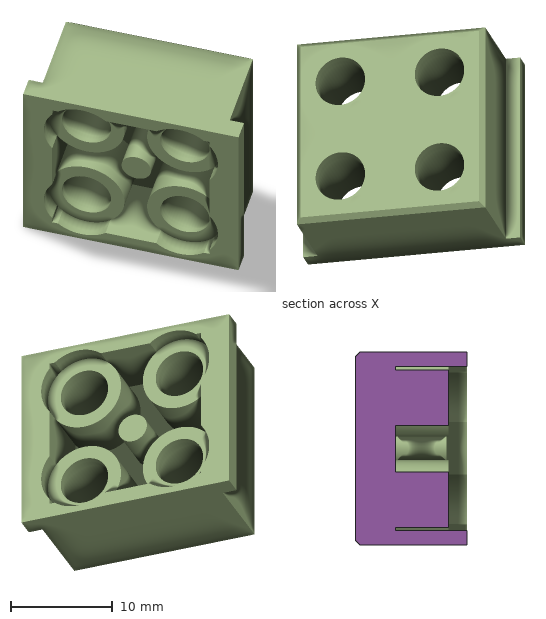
import cadquery as cq

flange_width = 21.9
body_size = 19.0
total_depth = 11.0
flange_thickness = 2.0
back_chamfer = 0.5

cavity_size = 16.0
cavity_depth = 7.0

tube_pitch = 10.0
tube_diameter = 7.7
bore_diameter = 5.0
pin_diameter = 3.0
tube_recess = 1.8
pin_recess = flange_thickness


def plane_at(depth):
    """Plane parallel to the front face, with its normal pointing to the back."""
    return cq.Workplane("XZ", origin=(0, depth, 0))


def box_at(depth, width, height, length):
    return plane_at(depth).rect(width, height).extrude(-length)


def cylinders(depth, diameter, length):
    """Cylinders on the four tube axes."""
    return (
        plane_at(depth)
        .rect(tube_pitch, tube_pitch, forConstruction=True)
        .vertices()
        .circle(diameter / 2)
        .extrude(-length)
    )


body = box_at(0, body_size, body_size, total_depth).faces(">Y").chamfer(back_chamfer)
flange = box_at(0, flange_width, body_size, flange_thickness)
block = body.union(flange)

block = block.cut(box_at(0, cavity_size, cavity_size, cavity_depth))
block = block.cut(cylinders(0, tube_diameter, tube_recess))

tubes = cylinders(tube_recess, tube_diameter, cavity_depth - tube_recess)
pin = plane_at(pin_recess).circle(pin_diameter / 2).extrude(pin_recess - cavity_depth)
block = block.union(tubes).union(pin)

result = block.cut(cylinders(0, bore_diameter, total_depth))